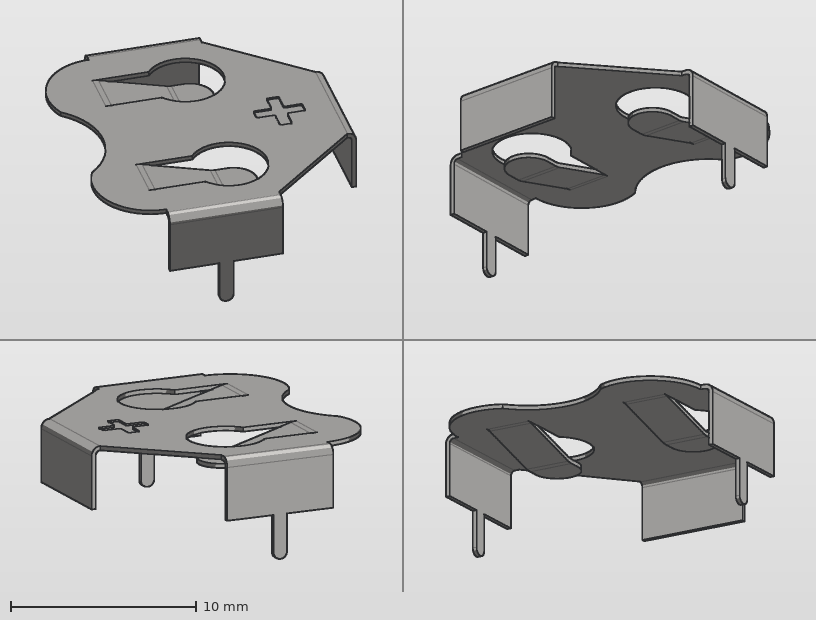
import cadquery as cq
import math

diagonal = math.sqrt(0.5)

sheet = 0.25
bend_inner_radius = 0.25
bend_outer_radius = bend_inner_radius + sheet
join_overlap = sheet

overall_width = 16.91
flange_height = 3.5
flange_length = 6.35
back_face_y = 8.775
top_z = flange_height
plate_bottom_z = top_z - sheet

plate_half_width = 7.68
plate_back_y = back_face_y - bend_outer_radius
half_flange = flange_length / 2
lobe_radius = 3.19
lobe_center_x = plate_half_width - lobe_radius
lobe_center_y = -half_flange
notch_half_width = 3.1
notch_apex_y = -4.56
notch_end_y = lobe_center_y - math.sqrt(lobe_radius**2 - (lobe_center_x - notch_half_width) ** 2)

leg_width = 0.8
leg_length = 2.5

spring_x = 4.31
spring_width = 2.63
spring_root_y = -3.545
spring_tip_y = 2.88
spring_bend_end_y = 0.88
spring_angle = math.radians(15.4)
spring_inner_radius = 1.0
spring_outer_radius = spring_inner_radius + sheet
spring_hole_diameter = 4.28
spring_hole_y = 1.3

plus_center_y = 5.36
plus_span = 2.73
plus_arm_width = 0.68
plus_corner_radius = 0.1
plus_depth = 0.1


def make_plate():
    """Flat plate with sloped back corners, two round front lobes and a front notch."""
    lobe_mid_x = lobe_center_x + lobe_radius * diagonal
    lobe_mid_y = lobe_center_y - lobe_radius * diagonal
    return (
        cq.Workplane("XY")
        .workplane(offset=plate_bottom_z)
        .moveTo(-half_flange, plate_back_y)
        .lineTo(half_flange, plate_back_y)
        .lineTo(plate_half_width, half_flange)
        .lineTo(plate_half_width, lobe_center_y)
        .threePointArc((lobe_mid_x, lobe_mid_y), (notch_half_width, notch_end_y))
        .threePointArc((0, notch_apex_y), (-notch_half_width, notch_end_y))
        .threePointArc((-lobe_mid_x, lobe_mid_y), (-plate_half_width, lobe_center_y))
        .lineTo(-plate_half_width, half_flange)
        .close()
        .extrude(sheet)
    )


def make_flange(outer_face, attach):
    """Flange bent down from the plate, facing +X, centred on Y = 0.

    outer_face is the X of its outside face; attach is the X where its flat part starts.
    """
    bend_x = outer_face - bend_outer_radius
    bend_z = top_z - bend_outer_radius
    outer_mid = bend_outer_radius * diagonal
    inner_mid = bend_inner_radius * diagonal
    return (
        cq.Workplane("XZ")
        .moveTo(attach, top_z)
        .lineTo(bend_x, top_z)
        .threePointArc((bend_x + outer_mid, bend_z + outer_mid), (outer_face, bend_z))
        .lineTo(outer_face, 0)
        .lineTo(outer_face - sheet, 0)
        .lineTo(outer_face - sheet, bend_z)
        .threePointArc((bend_x + inner_mid, bend_z + inner_mid), (bend_x, plate_bottom_z))
        .lineTo(attach, plate_bottom_z)
        .close()
        .extrude(half_flange, both=True)
    )


def make_leg():
    """Solder leg with a full-round tip, below the +X flange."""
    half_leg = leg_width / 2
    return (
        cq.Workplane("YZ")
        .workplane(offset=overall_width / 2 - sheet)
        .moveTo(-half_leg, 0)
        .lineTo(-half_leg, half_leg - leg_length)
        .threePointArc((0, -leg_length), (half_leg, half_leg - leg_length))
        .lineTo(half_leg, 0)
        .close()
        .extrude(sheet)
    )


def bend_point(center, radius, angle):
    """Point on a bend arc; angle is measured from +Z toward +Y."""
    return (center[0] + radius * math.sin(angle), center[1] + radius * math.cos(angle))


def make_spring(x):
    """Tongue bent down out of the plate, levelling out to a round-ended contact pad."""
    bends_run = (spring_outer_radius + spring_inner_radius) * math.sin(spring_angle)
    ramp_run = spring_bend_end_y - spring_root_y - bends_run
    bends_drop = (spring_outer_radius + spring_inner_radius) * (1 - math.cos(spring_angle))
    pad_top_z = top_z - ramp_run * math.tan(spring_angle) - bends_drop
    pad_bottom_z = pad_top_z - sheet
    root_embed_y = spring_root_y - join_overlap
    half_angle = spring_angle / 2
    half_width = spring_width / 2
    upper = (spring_root_y, top_z - spring_outer_radius)
    lower = (spring_bend_end_y, pad_top_z + spring_inner_radius)
    strip = (
        cq.Workplane("YZ")
        .workplane(offset=x)
        .moveTo(root_embed_y, top_z)
        .lineTo(spring_root_y, top_z)
        .threePointArc(
            bend_point(upper, spring_outer_radius, half_angle),
            bend_point(upper, spring_outer_radius, spring_angle),
        )
        .lineTo(*bend_point(lower, -spring_inner_radius, spring_angle))
        .threePointArc(
            bend_point(lower, -spring_inner_radius, half_angle),
            (spring_bend_end_y, pad_top_z),
        )
        .lineTo(spring_tip_y, pad_top_z)
        .lineTo(spring_tip_y, pad_bottom_z)
        .lineTo(spring_bend_end_y, pad_bottom_z)
        .threePointArc(
            bend_point(lower, -spring_outer_radius, half_angle),
            bend_point(lower, -spring_outer_radius, spring_angle),
        )
        .lineTo(*bend_point(upper, spring_inner_radius, spring_angle))
        .threePointArc(
            bend_point(upper, spring_inner_radius, half_angle),
            (spring_root_y, plate_bottom_z),
        )
        .lineTo(root_embed_y, plate_bottom_z)
        .close()
        .extrude(half_width, both=True)
    )
    outline = (
        cq.Workplane("XY")
        .moveTo(x - half_width, root_embed_y)
        .lineTo(x + half_width, root_embed_y)
        .lineTo(x + half_width, spring_tip_y - half_width)
        .threePointArc((x, spring_tip_y), (x - half_width, spring_tip_y - half_width))
        .close()
        .extrude(top_z)
    )
    return strip.intersect(outline)


def make_spring_opening(x):
    """Round window plus the slot the tongue is bent out of."""
    window = (
        cq.Workplane("XY")
        .center(x, spring_hole_y)
        .circle(spring_hole_diameter / 2)
        .extrude(top_z)
    )
    slot = (
        cq.Workplane("XY")
        .center(x, (spring_root_y + spring_hole_y) / 2)
        .rect(spring_width, spring_hole_y - spring_root_y)
        .extrude(top_z)
    )
    return window.union(slot)


def make_plus_sign():
    """Shallow plus-shaped recess with rounded corners, cut from the top face."""
    plus = cq.Workplane("XY").workplane(offset=top_z - plus_depth).center(0, plus_center_y)
    across = plus.rect(plus_span, plus_arm_width).extrude(plus_depth)
    along = plus.rect(plus_arm_width, plus_span).extrude(plus_depth)
    return across.union(along).edges("|Z").fillet(plus_corner_radius)


side_flange = make_flange(overall_width / 2, plate_half_width - join_overlap).union(make_leg())
back_flange = make_flange(back_face_y, plate_back_y - join_overlap).rotate((0, 0, 0), (0, 0, 1), 90)

result = make_plate().union(side_flange).union(side_flange.mirror("YZ")).union(back_flange)

for x in (-spring_x, spring_x):
    result = result.cut(make_spring_opening(x)).union(make_spring(x))

result = result.cut(make_plus_sign())